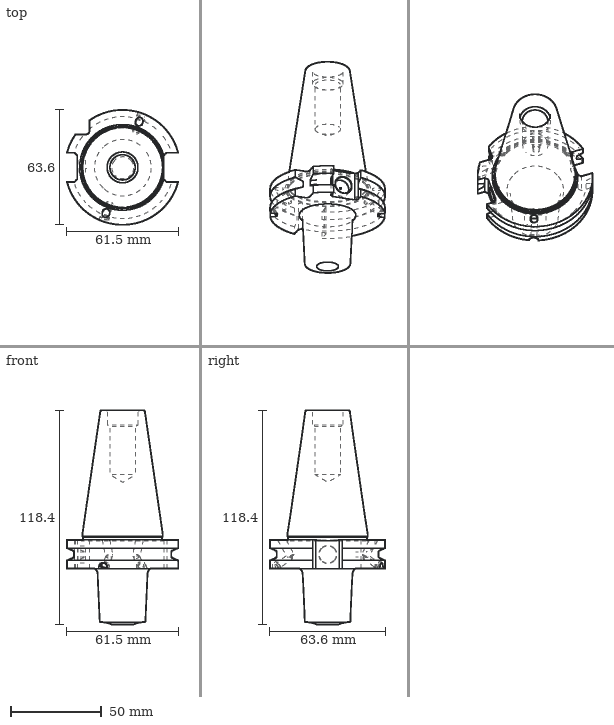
import cadquery as cq
import math

TOTAL_HEIGHT = 118.4
GAUGE_Z = 50.0
FLANGE_TOP_Z = 46.8
FLANGE_BOTTOM_Z = 30.9

TAPER_RATE = 7 / 24
GAUGE_RADIUS = 22.3
TIP_RADIUS = GAUGE_RADIUS - (TOTAL_HEIGHT - GAUGE_Z) * TAPER_RATE / 2
TIP_FILLET = 1.1
GAUGE_LAND = 1.1
COLLAR_RADIUS = 21.9
COLLAR_STEP_HEIGHT = 0.7

FLANGE_DIAMETER = 63.6
FLANGE_RADIUS = FLANGE_DIAMETER / 2
RELIEF_FLOOR_RADIUS = 22.7
RELIEF_RIM_RADIUS = 23.7
RELIEF_DEPTH = 0.5
GROOVE_Z = 38.8
GROOVE_FLOOR_RADIUS = 28.2
GROOVE_MOUTH = 6.9
GROOVE_WALL_ANGLE = 25.0
GROOVE_FILLET = 0.7

NOSE_ROOT_Z = 28.1
NOSE_ROOT_RADIUS = 13.9
NOSE_FLARE_RADIUS = 15.6
NOSE_FLARE_ARC = 3.3
NOSE_END_Z = 1.4
NOSE_END_RADIUS = 12.7
NOSE_EDGE_FILLET = 0.5
END_CONE_RADIUS = 11.8
END_STEP_RADIUS = 7.7
END_STEP_Z = 0.7
END_FLAT_RADIUS = 6.0

BORE_RADIUS = 8.5
BORE_MOUTH_ROUND = 1.0
BORE_DEPTH = 8.0
PILOT_RADIUS = 7.0
PILOT_LEDGE_DROP = 0.89
PILOT_DEPTH = 35.5
DRILL_POINT_ANGLE = 118.0

SLOT_WIDTH = 16.1
LEFT_SLOT_FLOOR = 25.1
RIGHT_SLOT_FLOOR = 22.7
SLOT_CORNER = 1.5
NOTCH_X = -18.4
NOTCH_Y = 18.2
NOTCH_FILLET = 1.9
POCKET_RADIUS = 4.7
POCKET_DEPTH = 4.6
POCKET_CHAMFER = 0.2
CENTRE_MARK_RADIUS = 0.4
CENTRE_MARK_DEPTH = 0.5

COOLANT_ANGLES = (70.0, 250.0)
INLET_DIAMETER = 4.1
INLET_RADIUS = INLET_DIAMETER / 2
INLET_PLACE = 26.9
INLET_TILT = 30.0
OUTLET_RADIUS = 1.7
OUTLET_TILT = 55.0
OUTLET_SEAT_RADIUS = 2.6
OUTLET_SEAT_DEPTH = 3.3


def revolve_profile(profile):
    """Turn a closed profile drawn in the XZ plane about the Z axis."""
    return profile.close().revolve(360, (0, 0, 0), (0, 1, 0))


def turned_body():
    """Nose, flange blank, collar and taper as one turned solid."""
    land_z = GAUGE_Z - GAUGE_LAND
    body = revolve_profile(
        cq.Workplane("XZ")
        .moveTo(0, 0)
        .lineTo(END_FLAT_RADIUS, 0)
        .lineTo(END_STEP_RADIUS, END_STEP_Z)
        .lineTo(END_CONE_RADIUS, NOSE_END_Z)
        .lineTo(NOSE_END_RADIUS, NOSE_END_Z)
        .lineTo(NOSE_ROOT_RADIUS, NOSE_ROOT_Z)
        .radiusArc((NOSE_FLARE_RADIUS, FLANGE_BOTTOM_Z), NOSE_FLARE_ARC)
        .lineTo(FLANGE_RADIUS, FLANGE_BOTTOM_Z)
        .lineTo(FLANGE_RADIUS, FLANGE_TOP_Z)
        .lineTo(RELIEF_RIM_RADIUS, FLANGE_TOP_Z)
        .lineTo(RELIEF_FLOOR_RADIUS, FLANGE_TOP_Z - RELIEF_DEPTH)
        .lineTo(COLLAR_RADIUS, FLANGE_TOP_Z - RELIEF_DEPTH)
        .lineTo(COLLAR_RADIUS, land_z - COLLAR_STEP_HEIGHT)
        .lineTo(GAUGE_RADIUS, land_z)
        .lineTo(GAUGE_RADIUS, GAUGE_Z)
        .lineTo(TIP_RADIUS, TOTAL_HEIGHT)
        .lineTo(0, TOTAL_HEIGHT)
    )
    body = body.faces(">Z").edges().fillet(TIP_FILLET)
    reach = NOSE_ROOT_RADIUS
    nose_end = cq.selectors.BoxSelector((-reach, -reach, 0), (reach, reach, NOSE_ROOT_Z / 2), True)
    outer_rim = cq.selectors.RadiusNthSelector(-1)
    return body.edges(nose_end).edges(outer_rim).fillet(NOSE_EDGE_FILLET)


def groove_ring():
    """V groove with a flat floor and rounded floor corners."""
    wall_rise = (FLANGE_RADIUS - GROOVE_FLOOR_RADIUS) * math.tan(math.radians(GROOVE_WALL_ANGLE))
    mouth = GROOVE_MOUTH / 2
    floor = mouth - wall_rise
    ring = revolve_profile(
        cq.Workplane("XZ")
        .moveTo(GROOVE_FLOOR_RADIUS, GROOVE_Z - floor)
        .lineTo(FLANGE_RADIUS, GROOVE_Z - mouth)
        .lineTo(FLANGE_RADIUS, GROOVE_Z + mouth)
        .lineTo(GROOVE_FLOOR_RADIUS, GROOVE_Z + floor)
    )
    return ring.edges(cq.selectors.RadiusNthSelector(0)).fillet(GROOVE_FILLET)


def stepped_bore():
    """Blind bore with a rounded mouth and a drilled pilot below it."""
    ledge_z = TOTAL_HEIGHT - BORE_DEPTH
    pilot_end_z = TOTAL_HEIGHT - PILOT_DEPTH
    point_height = PILOT_RADIUS / math.tan(math.radians(DRILL_POINT_ANGLE / 2))
    return revolve_profile(
        cq.Workplane("XZ")
        .moveTo(0, TOTAL_HEIGHT)
        .lineTo(BORE_RADIUS + BORE_MOUTH_ROUND, TOTAL_HEIGHT)
        .radiusArc((BORE_RADIUS, TOTAL_HEIGHT - BORE_MOUTH_ROUND), -BORE_MOUTH_ROUND)
        .lineTo(BORE_RADIUS, ledge_z)
        .lineTo(PILOT_RADIUS, ledge_z - PILOT_LEDGE_DROP)
        .lineTo(PILOT_RADIUS, pilot_end_z)
        .lineTo(0, pilot_end_z - point_height)
    )


def flange_cutter(x_min, x_max, y_min, y_max):
    """Block through the full height of the flange."""
    return (
        cq.Workplane("XY", origin=(0, 0, FLANGE_BOTTOM_Z))
        .moveTo(x_min, y_min)
        .lineTo(x_max, y_min)
        .lineTo(x_max, y_max)
        .lineTo(x_min, y_max)
        .close()
        .extrude(FLANGE_TOP_Z - FLANGE_BOTTOM_Z)
    )


def drive_slots():
    """Two opposite slots of equal width and unequal depth."""
    half = SLOT_WIDTH / 2
    left = flange_cutter(-FLANGE_RADIUS, -LEFT_SLOT_FLOOR, -half, half)
    right = flange_cutter(RIGHT_SLOT_FLOOR, FLANGE_RADIUS, -half, half)
    left = left.edges("|Z and >X").chamfer(SLOT_CORNER)
    right = right.edges("|Z and <X").chamfer(SLOT_CORNER)
    return left.union(right)


def orientation_notch():
    """Square step through the flange rim on one side."""
    notch = flange_cutter(-FLANGE_RADIUS, NOTCH_X, NOTCH_Y, FLANGE_RADIUS)
    return notch.edges("|Z and >X and <Y").fillet(NOTCH_FILLET)


def slot_pocket():
    """Flat round pocket with a small blind hole at its centre."""
    floor = cq.Workplane("YZ", origin=(-LEFT_SLOT_FLOOR, 0, GROOVE_Z))
    mouth_radius = POCKET_RADIUS + POCKET_CHAMFER
    pocket = floor.circle(mouth_radius).extrude(POCKET_CHAMFER, taper=45)
    pocket = pocket.union(floor.circle(POCKET_RADIUS).extrude(POCKET_DEPTH))
    mark = floor.circle(CENTRE_MARK_RADIUS).extrude(POCKET_DEPTH + CENTRE_MARK_DEPTH)
    return pocket.union(mark)


def rod(radius, start, direction, length, lead=0.0):
    """Cylinder in the XZ plane from start along direction, begun early by lead."""
    base = cq.Vector(*start) - cq.Vector(*direction) * lead
    return cq.Workplane(cq.Solid.makeCylinder(radius, length + lead, base, cq.Vector(*direction)))


def coolant_passage(angle):
    """Inlet from the flange top meeting an outlet from the lower rim edge."""
    inlet_tilt = math.radians(INLET_TILT)
    outlet_tilt = math.radians(OUTLET_TILT)
    inlet_way = (-math.sin(inlet_tilt), 0, -math.cos(inlet_tilt))
    outlet_way = (-math.sin(outlet_tilt), 0, math.cos(outlet_tilt))
    inlet_start = (INLET_PLACE, 0, FLANGE_TOP_Z)
    outlet_start = (FLANGE_RADIUS, 0, FLANGE_BOTTOM_Z)

    across = FLANGE_RADIUS - INLET_PLACE
    height = FLANGE_TOP_Z - FLANGE_BOTTOM_Z
    spread = math.sin(inlet_tilt + outlet_tilt)
    inlet_length = (height * math.sin(outlet_tilt) - across * math.cos(outlet_tilt)) / spread
    outlet_length = (height * math.sin(inlet_tilt) + across * math.cos(inlet_tilt)) / spread

    seat = rod(
        OUTLET_SEAT_RADIUS, outlet_start, outlet_way, OUTLET_SEAT_DEPTH, lead=2 * OUTLET_SEAT_RADIUS
    )
    passage = (
        rod(INLET_RADIUS, inlet_start, inlet_way, inlet_length, lead=2 * INLET_RADIUS)
        .union(rod(OUTLET_RADIUS, outlet_start, outlet_way, outlet_length))
        .union(seat)
    )
    return passage.rotate((0, 0, 0), (0, 0, 1), angle)


result = (
    turned_body()
    .cut(groove_ring())
    .cut(stepped_bore())
    .cut(drive_slots())
    .cut(orientation_notch())
    .cut(slot_pocket())
)
for coolant_angle in COOLANT_ANGLES:
    result = result.cut(coolant_passage(coolant_angle))